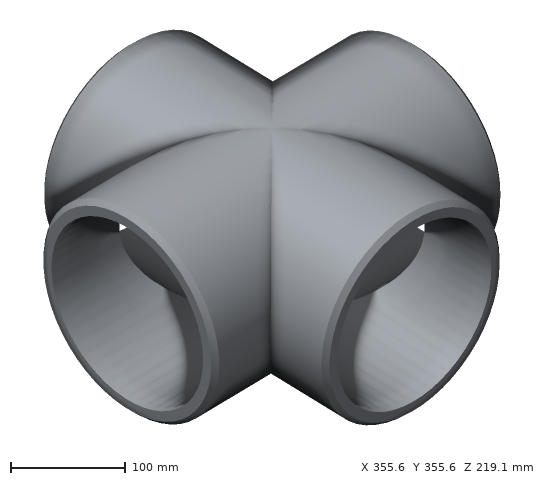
import cadquery as cq

outer_diameter = 219.075
wall_thickness = 15.09
end_to_end = 355.6
end_chamfer = 5.0

outer_radius = outer_diameter / 2
bore_radius = outer_radius - wall_thickness


def cylinder_along(plane, radius):
    """Full-length cylinder centred on the origin, normal to the given plane."""
    return cq.Workplane(plane).circle(radius).extrude(end_to_end / 2, both=True)


def run_body(plane):
    """Solid straight run with a chamfered rim at each open end."""
    return cylinder_along(plane, outer_radius).edges("%CIRCLE").chamfer(end_chamfer)


run_planes = ("YZ", "XZ")

result = cq.Workplane("XY")
for run_plane in run_planes:
    result = result.union(run_body(run_plane))

for run_plane in run_planes:
    result = result.cut(cylinder_along(run_plane, bore_radius))